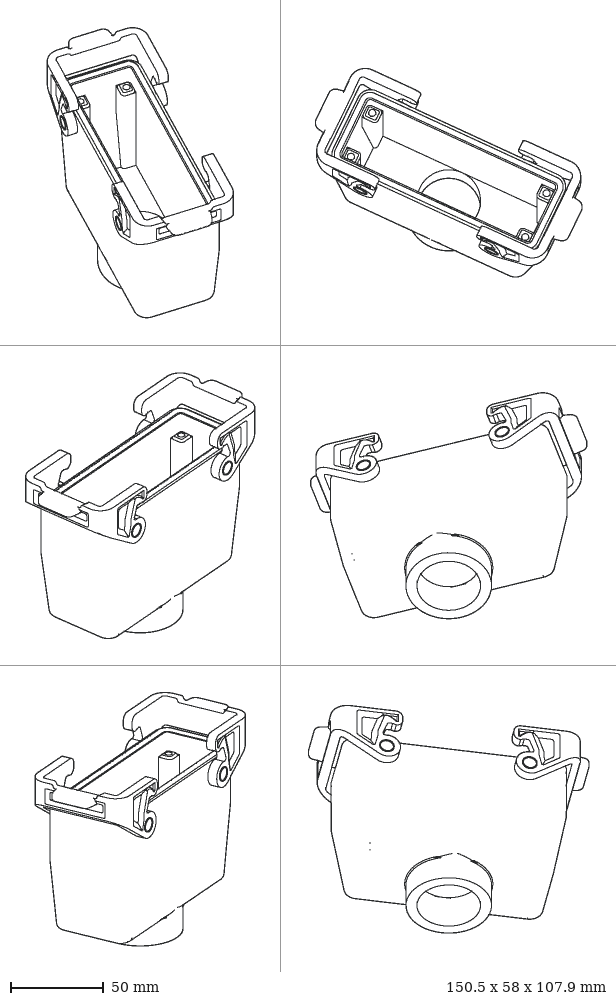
import cadquery as cq
import math

TOP_Z = 107.9
RIM_Z = 90.6
TAPER_Z = 58.1
FLOOR_Z = 20.0
BASE_Z = 15.2

HOOD_HALF_X = 61.4
HOOD_BASE_HALF_X = 54.0
HOOD_HALF_Y = 23.1
HOOD_CORNER_R = 7.3
HOOD_BASE_R = 3.0
CAVITY_HALF_X = 56.1
CAVITY_FLOOR_HALF_X = 49.2
CAVITY_HALF_Y = 17.1
CAVITY_CORNER_R = 2.0
MOUTH_HALF_Y = 17.6
LEDGE_Z = 80.2

BEAD_R = 1.5
BEAD_CREST_FLAT = 0.04
BEAD_HALF_X = 58.6
BEAD_HALF_Y = 19.95
BEAD_CORNER_R = 4.2

SPOUT_R = 23.05
SPOUT_BORE_R = CAVITY_HALF_Y
SPOUT_COLLAR = 0.7
SPOUT_COLLAR_HALF_Y = 21.5

POST_X = 51.9
POST_Y = 13.4
POST_INNER_X = 47.3
POST_INNER_Y = 9.1
POST_CORNER_R = 2.2
POST_TOP_Z = LEDGE_Z
POST_CHAMFER = 1.2
POST_HOLE_R = 1.9
POST_HOLE_DEPTH = 15.0

LEVER_END_X = 68.2
LEVER_TIP_X = 30.4
LEVER_HALF_Y = 29.0
LEVER_CORNER_R = 9.0
LEVER_INNER_X = 63.35
LEVER_INNER_Y = 23.4
LEVER_INNER_R = 2.0
LEVER_TIP_TOP_R = 4.0
LEVER_TIP_LIP_R = 3.6
LIP_Z = 98.1
HOOK_Z = 98.8
HOOK_START_X = 36.0
HOOK_END_X = 37.8
HOOK_ROOF_R = 1.2
HOOK_THROAT_TOP = (39.0, 97.9)
HOOK_THROAT_LOW = (41.2, 92.0)
HOOK_THROAT_R = 1.5
PIVOT_X = 39.1
PIVOT_Z = 82.8
PIVOT_BOSS_R = 7.45
PIN_R = 4.0
PIN_ROOT_Y = 19.0
PIN_GROOVE = 0.4
SLANT_DEG = 35.0

ARM_POCKET_DEPTH = 1.75
ARM_POCKET_DRAFT_DEG = 60.0
ARM_POCKET_CORNER_R = 3.0
ARM_POCKET_TOP_Z = 105.4
ARM_POCKET_OUTLINE = [
    (55.5, ARM_POCKET_TOP_Z),
    (39.9, ARM_POCKET_TOP_Z),
    (44.1, 92.2),
    (44.1, 88.9),
    (45.6, 82.4),
    (46.6, 82.2),
    (55.5, 88.5),
]
TONGUE_END_X = 32.8
TONGUE_LOW_Z = 100.6
TONGUE_NOSE = (33.9, 100.3)
TONGUE_FLANK = (36.1, 102.5)
TONGUE_CREST = (39.0, 104.0)
TONGUE_SHOULDER = (40.4, 103.7)
TONGUE_ROOT = (41.5, 102.5)
TONGUE_DEPTH = 0.8
TONGUE_DRAFT_DEG = 45.0

TAB_END_X = 75.25
TAB_END_HALF_Y = 11.3
TAB_ROOT_HALF_Y = 13.5
TAB_CORNER_R = 4.0
TAB_TOP_Z = 105.7
TAB_THICKNESS = 4.3
TAB_EDGE_R = 1.0
NOTCH_FLOOR_HALF_Y = 12.4
NOTCH_SIDE_WIDTH = 2.7
RECESS_HALF_Y = 18.9
RECESS_TOP_Z = 104.4
RECESS_BOTTOM_Z = 95.3
RECESS_DEPTH = 1.5
RECESS_DRAFT_DEG = 56.0
RECESS_CORNER_R = 1.9


def rounded_block(half_x, half_y, z_low, z_high, radius):
    block = cq.Workplane("XY", origin=(0, 0, z_low)).rect(2 * half_x, 2 * half_y).extrude(z_high - z_low)
    return block.edges("|Z").fillet(radius)


def rounded_section(half_x, half_y, radius):
    return cq.Sketch().rect(2 * half_x, 2 * half_y).vertices().fillet(radius)


def tapered_block(half_x, low_half_x, half_y, z_low, z_high, radius):
    """Upper and lower halves of a rounded block whose end walls lean in below TAPER_Z."""
    upper = rounded_block(half_x, half_y, TAPER_Z, z_high, radius)
    low_section = rounded_section(low_half_x, half_y, radius)
    high_section = rounded_section(half_x, half_y, radius).moved(cq.Location(cq.Vector(0, 0, TAPER_Z - z_low)))
    start = cq.Workplane("XY", origin=(0, 0, z_low))
    lower = start.placeSketch(low_section, high_section).loft(ruled=True)
    return upper, lower


def hood_body():
    upper, lower = tapered_block(HOOD_HALF_X, HOOD_BASE_HALF_X, HOOD_HALF_Y, BASE_Z, RIM_Z, HOOD_CORNER_R)
    return upper.union(lower.faces("<Z").edges().fillet(HOOD_BASE_R))


def cavity():
    upper, lower = tapered_block(
        CAVITY_HALF_X, CAVITY_FLOOR_HALF_X, CAVITY_HALF_Y, FLOOR_Z, RIM_Z, CAVITY_CORNER_R
    )
    mouth_outline = [
        (-CAVITY_HALF_Y, LEDGE_Z),
        (CAVITY_HALF_Y, LEDGE_Z),
        (MOUTH_HALF_Y, RIM_Z),
        (-MOUTH_HALF_Y, RIM_Z),
    ]
    mouth = cq.Workplane("YZ").polyline(mouth_outline).close().extrude(CAVITY_HALF_X, both=True)
    mouth = mouth.edges("not(|X or |Y)").fillet(CAVITY_CORNER_R)
    return upper.union(lower).union(mouth)


def sealing_bead():
    """Half-round bead that runs all the way round the rim."""
    band = rounded_block(
        BEAD_HALF_X + BEAD_R, BEAD_HALF_Y + BEAD_R, RIM_Z - BEAD_R, RIM_Z + BEAD_R, BEAD_CORNER_R + BEAD_R
    )
    opening = rounded_block(
        BEAD_HALF_X - BEAD_R, BEAD_HALF_Y - BEAD_R, RIM_Z - BEAD_R, RIM_Z + BEAD_R, BEAD_CORNER_R - BEAD_R
    )
    return band.cut(opening).faces(">Z").edges().fillet(BEAD_R - BEAD_CREST_FLAT / 2)


def spout():
    """Cable spout with a short flare where it meets the hood's flat bottom."""
    tube = cq.Workplane("XY").circle(SPOUT_R).extrude(BASE_Z + HOOD_BASE_R)
    collar = (
        cq.Workplane("XY", origin=(0, 0, BASE_Z - SPOUT_COLLAR))
        .circle(SPOUT_R)
        .workplane(offset=SPOUT_COLLAR)
        .circle(SPOUT_R + SPOUT_COLLAR)
        .loft()
    )
    slab = cq.Workplane("XY").box(2 * HOOD_HALF_X, 2 * SPOUT_COLLAR_HALF_Y, 2 * BASE_Z)
    return tube.union(collar.intersect(slab))


def spout_bore():
    return cq.Workplane("XY").circle(SPOUT_BORE_R).extrude(FLOOR_Z)


def post_block(side_x, side_y, outer_x, outer_y, z_low, z_high):
    """Upright block in one cavity corner, reaching out to outer_x and outer_y."""
    return (
        cq.Workplane("XY", origin=(0, 0, z_low))
        .center(side_x * (POST_INNER_X + outer_x) / 2, side_y * (POST_INNER_Y + outer_y) / 2)
        .rect(outer_x - POST_INNER_X, outer_y - POST_INNER_Y)
        .extrude(z_high - z_low)
        .edges("|Z")
        .fillet(POST_CORNER_R)
    )


def screw_posts():
    """Corner posts with chamfered tops; their feet are trimmed to the cavity."""
    foot_top_z = POST_TOP_Z - POST_CHAMFER
    foot_outer_x = CAVITY_HALF_X + POST_CORNER_R
    foot_outer_y = CAVITY_HALF_Y + POST_CORNER_R
    feet = cq.Workplane("XY")
    caps = cq.Workplane("XY")
    for side_x in (-1, 1):
        for side_y in (-1, 1):
            foot = post_block(side_x, side_y, foot_outer_x, foot_outer_y, FLOOR_Z, foot_top_z)
            cap = post_block(side_x, side_y, CAVITY_HALF_X, CAVITY_HALF_Y, TAPER_Z, POST_TOP_Z)
            feet = feet.union(foot)
            caps = caps.union(cap.faces(">Z").chamfer(POST_CHAMFER))
    return feet.intersect(cavity()).union(caps)


def post_holes():
    return (
        cq.Workplane("XY", origin=(0, 0, POST_TOP_Z))
        .rect(2 * POST_X, 2 * POST_Y, forConstruction=True)
        .vertices()
        .circle(POST_HOLE_R)
        .extrude(-POST_HOLE_DEPTH)
    )


def lever_side_profile():
    """Side outline of the lever, with its hook and pivot boss, over the full width."""
    slant = math.radians(SLANT_DEG)
    tangent = (PIVOT_X + PIVOT_BOSS_R * math.sin(slant), PIVOT_Z - PIVOT_BOSS_R * math.cos(slant))
    end_low_z = tangent[1] + (LEVER_END_X - tangent[0]) * math.tan(slant)
    return (
        cq.Workplane("XZ")
        .moveTo(LEVER_END_X, TOP_Z)
        .lineTo(LEVER_TIP_X + LEVER_TIP_TOP_R, TOP_Z)
        .radiusArc((LEVER_TIP_X, TOP_Z - LEVER_TIP_TOP_R), -LEVER_TIP_TOP_R)
        .lineTo(LEVER_TIP_X, LIP_Z + LEVER_TIP_LIP_R)
        .radiusArc((LEVER_TIP_X + LEVER_TIP_LIP_R, LIP_Z), -LEVER_TIP_LIP_R)
        .lineTo(HOOK_START_X, HOOK_Z)
        .lineTo(HOOK_END_X, HOOK_Z)
        .radiusArc(HOOK_THROAT_TOP, HOOK_ROOF_R)
        .lineTo(*HOOK_THROAT_LOW)
        .radiusArc((PIVOT_X, PIVOT_Z + PIVOT_BOSS_R), HOOK_THROAT_R)
        .threePointArc((PIVOT_X - PIVOT_BOSS_R, PIVOT_Z), tangent)
        .lineTo(LEVER_END_X, end_low_z)
        .close()
        .extrude(LEVER_HALF_Y, both=True)
    )


def arm_pocket():
    """Sloped-wall pocket in the -Y arm: a wide part and a shallow tongue towards the tip."""
    face = cq.Workplane("XZ", origin=(0, -LEVER_HALF_Y, 0))
    wide_cut = (
        face.polyline(ARM_POCKET_OUTLINE)
        .close()
        .extrude(-ARM_POCKET_DEPTH, taper=ARM_POCKET_DRAFT_DEG)
        .edges("not(#Y)")
        .edges(">X")
        .fillet(ARM_POCKET_CORNER_R)
    )
    tongue_cut = (
        face.moveTo(TONGUE_ROOT[0], ARM_POCKET_TOP_Z)
        .lineTo(TONGUE_END_X, ARM_POCKET_TOP_Z)
        .lineTo(TONGUE_END_X, TONGUE_LOW_Z)
        .lineTo(*TONGUE_NOSE)
        .threePointArc(TONGUE_FLANK, TONGUE_CREST)
        .threePointArc(TONGUE_SHOULDER, TONGUE_ROOT)
        .close()
        .extrude(-TONGUE_DEPTH, taper=TONGUE_DRAFT_DEG)
    )
    return wide_cut.union(tongue_cut)


def pin():
    """Pivot pin of the -Y arm, flush with the arm and rooted in the hood wall."""
    start = cq.Workplane("XZ", origin=(PIVOT_X, -LEVER_HALF_Y, PIVOT_Z))
    return start.circle(PIN_R).extrude(-(LEVER_HALF_Y - PIN_ROOT_Y))


def pin_groove():
    return (
        cq.Workplane("XZ", origin=(PIVOT_X, -LEVER_HALF_Y, PIVOT_Z))
        .circle(PIN_R)
        .circle(PIN_R - PIN_GROOVE)
        .extrude(-PIN_GROOVE)
    )


def both_sides(shape):
    return shape.union(shape.mirror("XZ"))


def grip_tab():
    """Finger tab that narrows outward from the lever end."""
    outline = [
        (LEVER_INNER_X, -TAB_ROOT_HALF_Y),
        (TAB_END_X, -TAB_END_HALF_Y),
        (TAB_END_X, TAB_END_HALF_Y),
        (LEVER_INNER_X, TAB_ROOT_HALF_Y),
    ]
    tab = cq.Workplane("XY", origin=(0, 0, TAB_TOP_Z)).polyline(outline).close().extrude(-TAB_THICKNESS)
    tab = tab.edges("|Z and >X").fillet(TAB_CORNER_R)
    return tab.edges("(>Z or <Z) and (not <X)").fillet(TAB_EDGE_R)


def notch_outline(workplane, floor_half_y):
    """Notch outline with S-shaped sides, open above the lever."""
    drop = TOP_Z - TAB_TOP_Z
    top_half_y = floor_half_y + NOTCH_SIDE_WIDTH
    middle_half_y = floor_half_y + NOTCH_SIDE_WIDTH / 2
    middle_z = TAB_TOP_Z + drop / 2
    side_r = (NOTCH_SIDE_WIDTH**2 + drop**2) / (4 * drop)
    return (
        workplane.moveTo(-top_half_y, TOP_Z + drop)
        .lineTo(-top_half_y, TOP_Z)
        .radiusArc((-middle_half_y, middle_z), side_r)
        .radiusArc((-floor_half_y, TAB_TOP_Z), -side_r)
        .lineTo(floor_half_y, TAB_TOP_Z)
        .radiusArc((middle_half_y, middle_z), -side_r)
        .radiusArc((top_half_y, TOP_Z), side_r)
        .lineTo(top_half_y, TOP_Z + drop)
        .close()
    )


def end_notch():
    """Notch above the tab, its sides parallel to the tab's flanks."""
    wall = LEVER_END_X - LEVER_INNER_X
    spread = wall * (TAB_ROOT_HALF_Y - TAB_END_HALF_Y) / (TAB_END_X - LEVER_INNER_X)
    start = cq.Workplane("YZ", origin=(LEVER_INNER_X, 0, 0))
    inner = notch_outline(start, NOTCH_FLOOR_HALF_Y + spread)
    return notch_outline(inner.workplane(offset=wall), NOTCH_FLOOR_HALF_Y).loft(ruled=True)


def end_recess():
    return (
        cq.Workplane("YZ", origin=(LEVER_END_X, 0, (RECESS_TOP_Z + RECESS_BOTTOM_Z) / 2))
        .rect(2 * RECESS_HALF_Y, RECESS_TOP_Z - RECESS_BOTTOM_Z)
        .extrude(-RECESS_DEPTH, taper=RECESS_DRAFT_DEG)
        .edges("not(#X)")
        .fillet(RECESS_CORNER_R)
    )


def lever():
    """Locking lever on the +X end, with its two pivot pins."""
    plan = rounded_block(LEVER_END_X, LEVER_HALF_Y, 0, TOP_Z, LEVER_CORNER_R)
    opening = rounded_block(LEVER_INNER_X, LEVER_INNER_Y, 0, TOP_Z, LEVER_INNER_R)
    frame = lever_side_profile().intersect(plan).cut(opening)
    frame = frame.cut(both_sides(arm_pocket())).cut(end_notch()).cut(end_recess())
    frame = frame.union(grip_tab()).union(both_sides(pin()))
    return frame.cut(both_sides(pin_groove()))


hood = hood_body().union(spout()).cut(cavity()).union(sealing_bead())
hood = hood.union(screw_posts()).cut(post_holes()).cut(spout_bore())
right_lever = lever()
result = hood.union(right_lever).union(right_lever.mirror("YZ"))